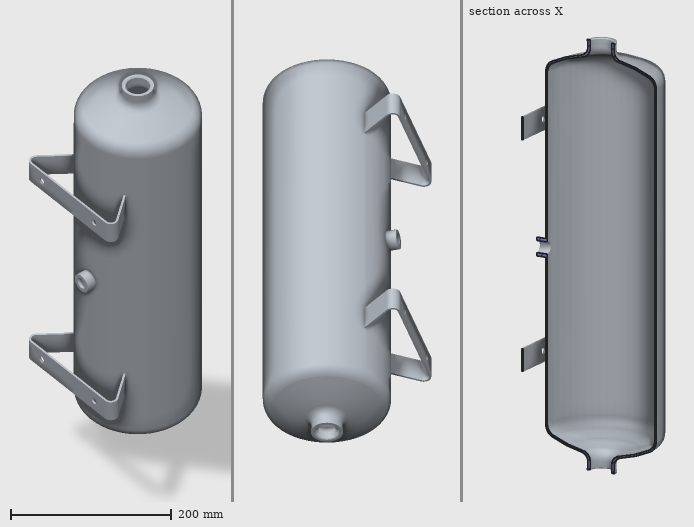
import cadquery as cq
import math

length = 558.0
depth = 195.0
tank_radius = 160.0 / 2
inner_radius = 154.0 / 2
wall = tank_radius - inner_radius
shoulder_drop = 51.0
crown_radius = 160.0
knuckle_radius = 17.5

neck_radius = 39.0 / 2
neck_bore_radius = 30.0 / 2
neck_fillet = 10.5
lip_radius = 40.0 / 2
lip_height = 1.5
rim_chamfer = 1.0

boss_diameter = 25.0
boss_bore_diameter = 15.0
boss_tip = 92.5

strap_front = depth - tank_radius
strap_half_width = 81.0
strap_height = 30.0
strap_thickness = 3.0
strap_bend_radius = 9.5
strap_leg_angle = 52.0
strap_leg_end_radius = tank_radius - wall / 2
strap_offset = 150.0
strap_hole_diameter = 9.0
strap_hole_x = 50.0

mid_z = length / 2
shoulder_z = length - shoulder_drop
knuckle_center_r = tank_radius - knuckle_radius
crown_center_z = shoulder_z - math.sqrt(
    (crown_radius - knuckle_radius) ** 2 - knuckle_center_r ** 2
)
tangent_angle = math.acos(knuckle_center_r / (crown_radius - knuckle_radius))


def polar(center, radius, angle):
    """Point at the given radius and angle (radians) around a center."""
    return (
        center[0] + radius * math.cos(angle),
        center[1] + radius * math.sin(angle),
    )


def tank_end(offset, neck_r):
    """Upper end (knuckle, crown, blend and neck of radius neck_r), with the dome moved inward by offset."""
    knuckle_center = (knuckle_center_r, shoulder_z)
    knuckle = knuckle_radius - offset
    crown_center = (0, crown_center_z)
    crown = crown_radius - offset
    blend = neck_fillet + offset
    blend_center_r = neck_r + blend
    blend_rise = math.sqrt((crown + blend) ** 2 - blend_center_r ** 2)
    blend_center = (blend_center_r, crown_center_z + blend_rise)
    crown_end_angle = math.atan2(blend_rise, blend_center_r)
    blend_middle_angle = math.pi + crown_end_angle / 2
    return (
        cq.Workplane("XZ")
        .moveTo(0, shoulder_z)
        .lineTo(tank_radius - offset, shoulder_z)
        .threePointArc(
            polar(knuckle_center, knuckle, tangent_angle / 2),
            polar(knuckle_center, knuckle, tangent_angle),
        )
        .threePointArc(
            polar(crown_center, crown, (tangent_angle + crown_end_angle) / 2),
            polar(crown_center, crown, crown_end_angle),
        )
        .threePointArc(
            polar(blend_center, blend, blend_middle_angle),
            polar(blend_center, blend, math.pi),
        )
        .lineTo(neck_r, length)
        .lineTo(0, length)
        .close()
        .revolve(360, (0, 0, 0), (0, 1, 0))
    )


def outer_end():
    """Solid upper end of the tank, with a slightly wider lip around the neck rim."""
    lip = (
        cq.Workplane("XY", origin=(0, 0, length - lip_height))
        .circle(lip_radius)
        .extrude(lip_height)
    )
    return tank_end(0, neck_radius).union(lip)


def cavity_end():
    """Space inside the upper end, with the neck bore chamfered at the rim."""
    bore = tank_end(wall, neck_bore_radius)
    chamfer = (
        cq.Workplane("XY", origin=(0, 0, length))
        .circle(neck_bore_radius + rim_chamfer)
        .extrude(-rim_chamfer, taper=45)
    )
    return bore.union(chamfer)


def vessel(end, radius):
    """Straight cylinder between the shoulders, closed by the given upper end and its mirror image."""
    straight_length = length - 2 * shoulder_drop
    middle = (
        cq.Workplane("XY", origin=(0, 0, shoulder_drop))
        .circle(radius)
        .extrude(straight_length)
    )
    return middle.union(end).union(end.mirror("XY", (0, 0, mid_z)))


def radial_cylinder(diameter):
    """Cylinder from the tank axis to the boss tip, toward -Y at mid-length."""
    return cq.Workplane("XZ").center(0, mid_z).circle(diameter / 2).extrude(boss_tip)


def strap_outline(inset):
    """Solid triangle bounded by the strap's flat face and legs, shrunk inward by inset."""
    bend = strap_bend_radius - inset
    bend_center = (strap_half_width - strap_bend_radius, strap_bend_radius - strap_front)
    leg = math.radians(strap_leg_angle)
    leg_normal = math.pi / 2 - leg
    bend_start = polar(bend_center, bend, -math.pi / 2)
    bend_middle = polar(bend_center, bend, (leg_normal - math.pi / 2) / 2)
    bend_end = polar(bend_center, bend, leg_normal)
    legs_meet_y = bend_end[1] + bend_end[0] * math.tan(leg)

    def left(point):
        return (-point[0], point[1])

    return (
        cq.Workplane("XY")
        .moveTo(*left(bend_start))
        .lineTo(*bend_start)
        .threePointArc(bend_middle, bend_end)
        .lineTo(0, legs_meet_y)
        .lineTo(*left(bend_end))
        .threePointArc(left(bend_middle), left(bend_start))
        .close()
        .extrude(strap_height)
    )


def strap(center_z):
    """Bent flat bar with two mounting holes, its legs sunk halfway into the tank wall."""
    leg_trim = cq.Workplane("XY").circle(strap_leg_end_radius).extrude(strap_height)
    bar = strap_outline(0).cut(strap_outline(strap_thickness)).cut(leg_trim)
    holes = (
        cq.Workplane("XZ", origin=(0, -strap_front + strap_thickness, strap_height / 2))
        .pushPoints([(-strap_hole_x, 0), (strap_hole_x, 0)])
        .circle(strap_hole_diameter / 2)
        .extrude(strap_thickness)
    )
    return bar.cut(holes).translate((0, 0, center_z - strap_height / 2))


result = vessel(outer_end(), tank_radius).union(radial_cylinder(boss_diameter))
result = result.cut(vessel(cavity_end(), inner_radius))
result = result.cut(radial_cylinder(boss_bore_diameter))
for side in (-1, 1):
    result = result.union(strap(mid_z + side * strap_offset))